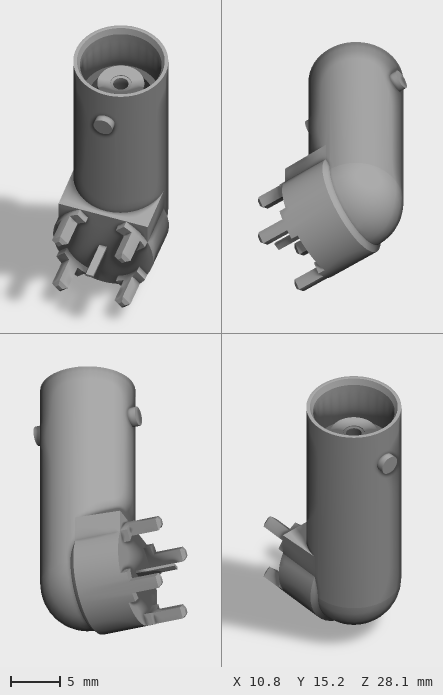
import cadquery as cq

overall_height = 28.1
base_radius = 5.375
tube_radius = 4.825
tube_top = overall_height - base_radius

lead_in_radius = 4.46
throat_radius = 4.15
bore_floor_radius = 4.0
inner_bore_radius = 3.25
lead_in_depth = 0.6
bore_depth = 5.2
inner_bore_depth = 8.5
insulator_radius = 2.39
insulator_top_depth = 3.4
contact_radius = 1.08
contact_recess = 0.1
contact_hole_radius = 0.78
contact_hole_depth = 2.0

lug_radius = 1.0
lug_reach = 5.53
lug_drop = 4.23

base_face_y = -5.44
base_rim_y = -0.55
base_back_radius = 4.8
block_half_width = 4.8
block_front_top = 4.82
block_top_slope = 0.053

peg_inner_radius = 4.2
pad_width = 3.2
pad_height = 0.73
peg_width = 1.26
peg_end_y = -9.4
peg_chamfer = 0.33
peg_count = 4
peg_first_angle = 45

pin_width = 0.8
pin_thickness = 0.3
pin_end_y = -9.62


def cylinder_toward_front(radius, y_start, y_end):
    """Cylinder about the Y axis running from y_start down to y_end."""
    return cq.Workplane("XZ", origin=(0, y_start, 0)).circle(radius).extrude(y_start - y_end)


def make_elbow():
    """Vertical tube closed at its lower end by a sphere of the same radius."""
    tube = cq.Workplane("XY").circle(tube_radius).extrude(tube_top)
    return tube.union(cq.Workplane("XY").sphere(tube_radius))


def make_base():
    """Disc about Y with a coned back edge that meets the elbow at y = 0."""
    profile = [
        (0, 0),
        (base_back_radius, 0),
        (base_radius, base_rim_y),
        (base_radius, base_face_y),
        (0, base_face_y),
    ]
    return cq.Workplane("XY").polyline(profile).close().revolve(360, (0, 0, 0), (0, 1, 0))


def block_top_at(y):
    """Height of the sloping block top at a given y."""
    return block_front_top + block_top_slope * (y - base_face_y)


def make_block():
    """Square shoulder above the base, its top rising gently toward the tube."""
    profile = [
        (0, 0),
        (base_face_y, 0),
        (base_face_y, block_top_at(base_face_y)),
        (0, block_top_at(0)),
    ]
    return cq.Workplane("YZ").polyline(profile).close().extrude(block_half_width, both=True)


def make_base_crown():
    """Material above the block top plane, removed from the base disc."""
    profile = [
        (base_face_y, block_top_at(base_face_y)),
        (0, block_top_at(0)),
        (0, base_radius),
        (base_face_y, base_radius),
    ]
    return cq.Workplane("YZ").polyline(profile).close().extrude(base_radius, both=True)


def make_lugs():
    """Two opposed bayonet lugs, as one bar through the tube."""
    lug_bar = cylinder_toward_front(lug_radius, lug_reach, -lug_reach)
    return lug_bar.translate((0, 0, tube_top - lug_drop))


def make_socket():
    """Cavity of the coaxial socket, leaving the insulator with its tubular centre contact."""
    floor_z = tube_top - inner_bore_depth
    step_z = tube_top - bore_depth
    insulator_z = tube_top - insulator_top_depth
    contact_z = insulator_z - contact_recess
    hole_floor_z = contact_z - contact_hole_depth
    profile = [
        (0, tube_top),
        (lead_in_radius, tube_top),
        (throat_radius, tube_top - lead_in_depth),
        (bore_floor_radius, step_z),
        (inner_bore_radius, step_z),
        (inner_bore_radius, floor_z),
        (insulator_radius, floor_z),
        (insulator_radius, insulator_z),
        (contact_radius, insulator_z),
        (contact_radius, contact_z),
        (contact_hole_radius, contact_z),
        (contact_hole_radius, hole_floor_z),
        (0, hole_floor_z),
    ]
    return cq.Workplane("XZ").polyline(profile).close().revolve(360, (0, 0, 0), (0, 1, 0))


def make_ring_piece(width, y_end):
    """Piece of the ring at the base rim, cut to a parallel-sided width, on the +X side."""
    ring = cylinder_toward_front(base_radius, base_face_y, y_end)
    ring = ring.cut(cylinder_toward_front(peg_inner_radius, base_face_y, y_end))
    length = base_face_y - y_end
    strip = cq.Workplane("XZ", origin=(base_radius / 2, base_face_y, 0))
    strip = strip.rect(base_radius, width).extrude(length)
    return ring.intersect(strip)


def make_peg():
    """Pad with a tip-chamfered peg standing on it, on the +X side."""
    pad = make_ring_piece(pad_width, base_face_y - pad_height)
    peg = make_ring_piece(peg_width, peg_end_y).faces("<Y").chamfer(peg_chamfer)
    return pad.union(peg)


def make_pin():
    """Flat signal pin at the centre of the base face."""
    pin = cq.Workplane("XZ", origin=(0, base_face_y, 0)).rect(pin_width, pin_thickness)
    return pin.extrude(base_face_y - pin_end_y)


base = make_base().cut(make_base_crown())
result = make_elbow().union(base).union(make_block()).union(make_lugs())
result = result.cut(make_socket())
for index in range(peg_count):
    angle = peg_first_angle + index * 360 / peg_count
    result = result.union(make_peg().rotate((0, 0, 0), (0, 1, 0), angle))
result = result.union(make_pin())